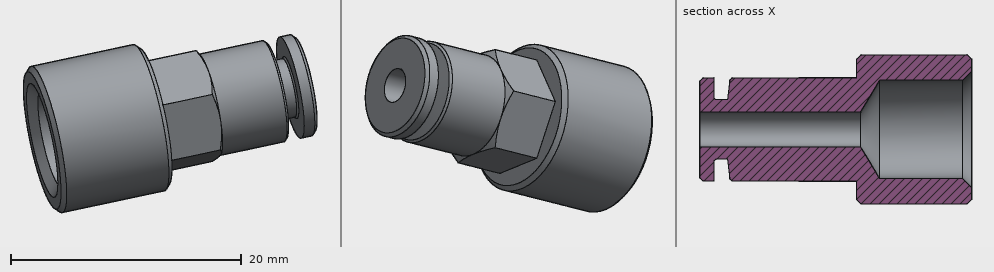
import cadquery as cq
import math


TOTAL_LENGTH = 23.6
SOCKET_LENGTH = 10.0
HEX_LENGTH = 5.0
SLEEVE_LENGTH = 6.2
FLANGE_THICKNESS = 1.25

SOCKET_DIAMETER = 13.0
HEX_SIDES = 6
HEX_ACROSS_FLATS = 9.0
SLEEVE_DIAMETER = 9.0
NECK_DIAMETER = 5.2
FLANGE_DIAMETER = 9.0

SOCKET_CHAMFER = 0.4
SLEEVE_CHAMFER = 0.2
FLANGE_CHAMFER = 0.3
NECK_FLARE = 0.15
HEX_CHAMFER_ANGLE = 30.0
SHOULDER_RISE = 0.2

BORE_DIAMETER = 8.5
BORE_DEPTH = 8.0
BORE_MOUTH_DIAMETER = 10.1
BORE_MOUTH_ANGLE = 45.0
DRILL_POINT_ANGLE = 118.0
THROUGH_HOLE_DIAMETER = 3.0

HEX_END = SOCKET_LENGTH + HEX_LENGTH
SLEEVE_END = HEX_END + SLEEVE_LENGTH
FLANGE_START = TOTAL_LENGTH - FLANGE_THICKNESS


def revolve_profile(points):
    """Turn a closed (radius, Y) outline about the Y axis."""
    return cq.Workplane("XY").polyline(points).close().revolve(360, (0, 0, 0), (0, 1, 0))


def make_socket():
    """Round female body, chamfered at both ends."""
    radius = SOCKET_DIAMETER / 2
    end_radius = radius - SOCKET_CHAMFER
    return revolve_profile([
        (0, 0),
        (end_radius, 0),
        (radius, SOCKET_CHAMFER),
        (radius, SOCKET_LENGTH - SOCKET_CHAMFER),
        (end_radius, SOCKET_LENGTH),
        (0, SOCKET_LENGTH),
    ])


def make_hexagon():
    """Wrench hexagon with corners on +X and -X, its far corners turned to a cone."""
    corner_radius = HEX_ACROSS_FLATS / 2 / math.cos(math.pi / HEX_SIDES)
    prism = (
        cq.Workplane("XZ", origin=(0, SOCKET_LENGTH, 0))
        .polygon(HEX_SIDES, 2 * corner_radius)
        .extrude(-HEX_LENGTH)
    )
    flat_radius = HEX_ACROSS_FLATS / 2
    cone_drop = (corner_radius - flat_radius) * math.tan(math.radians(HEX_CHAMFER_ANGLE))
    envelope = revolve_profile([
        (0, SOCKET_LENGTH),
        (corner_radius, SOCKET_LENGTH),
        (corner_radius, HEX_END - cone_drop),
        (flat_radius, HEX_END),
        (0, HEX_END),
    ])
    return prism.intersect(envelope)


def make_sleeve():
    """Plain cylinder with a chamfered rim and a shallow cone rising to the neck."""
    radius = SLEEVE_DIAMETER / 2
    rim = SLEEVE_END - SHOULDER_RISE
    return revolve_profile([
        (0, HEX_END),
        (radius, HEX_END),
        (radius, rim - SLEEVE_CHAMFER),
        (radius - SLEEVE_CHAMFER, rim),
        (NECK_DIAMETER / 2, SLEEVE_END),
        (0, SLEEVE_END),
    ])


def make_release_collar():
    """Neck and flange, with a small flare where the neck meets the flange."""
    neck_radius = NECK_DIAMETER / 2
    flange_radius = FLANGE_DIAMETER / 2
    return revolve_profile([
        (0, SLEEVE_END),
        (neck_radius, SLEEVE_END),
        (neck_radius, FLANGE_START - NECK_FLARE),
        (neck_radius + NECK_FLARE, FLANGE_START),
        (flange_radius, FLANGE_START),
        (flange_radius, TOTAL_LENGTH - FLANGE_CHAMFER),
        (flange_radius - FLANGE_CHAMFER, TOTAL_LENGTH),
        (0, TOTAL_LENGTH),
    ])


def make_bore():
    """Countersunk blind bore with a drill-point floor, opening into the through hole."""
    bore_radius = BORE_DIAMETER / 2
    mouth_radius = BORE_MOUTH_DIAMETER / 2
    hole_radius = THROUGH_HOLE_DIAMETER / 2
    mouth_depth = (mouth_radius - bore_radius) / math.tan(math.radians(BORE_MOUTH_ANGLE))
    point_depth = (bore_radius - hole_radius) / math.tan(math.radians(DRILL_POINT_ANGLE / 2))
    return revolve_profile([
        (0, 0),
        (mouth_radius, 0),
        (bore_radius, mouth_depth),
        (bore_radius, BORE_DEPTH),
        (hole_radius, BORE_DEPTH + point_depth),
        (hole_radius, TOTAL_LENGTH),
        (0, TOTAL_LENGTH),
    ])


body = make_socket().union(make_hexagon()).union(make_sleeve()).union(make_release_collar())
result = body.cut(make_bore())